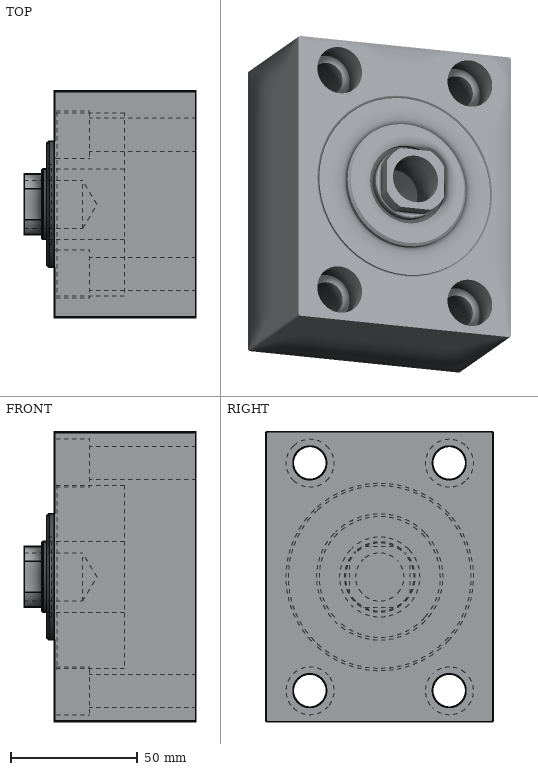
import math
import cadquery as cq

BLOCK_LENGTH = 56.0
BLOCK_WIDTH = 90.0
BLOCK_HEIGHT = 115.0
BLOCK_EDGE_CHAMFER = 0.5

BOLT_SPACING_Y = 55.2
BOLT_SPACING_Z = 90.2
BOLT_HOLE_DIAMETER = 13.1
COUNTERBORE_DIAMETER = 19.0
COUNTERBORE_DEPTH = 13.8

GLAND_DIAMETER = 72.5
GLAND_DEPTH = 27.6
GLAND_SEAT_CHAMFER = 0.9
BOSS_DIAMETER = 50.0
BOSS_HEIGHT = 3.1
BOSS_CHAMFER = 1.0
ROD_RECESS_DIAMETER = 31.7
ROD_RECESS_DEPTH = 1.8

ROD_DIAMETER = 28.0
SHOULDER_HEIGHT = 5.0
SHOULDER_CHAMFER = 0.5
TIP_HEIGHT = 12.0
TIP_DIAMETER = 27.1
TIP_ACROSS_FLATS = 24.2
ROD_HOLE_DIAMETER = 19.1
ROD_HOLE_DEPTH = 23.0
DRILL_POINT_ANGLE = 118.0


def disc(diameter, x_start, x_end):
    """Solid cylinder on the X axis between two X positions."""
    return cq.Workplane("YZ", origin=(x_start, 0, 0)).circle(diameter / 2).extrude(x_end - x_start)


def make_block():
    """Housing with a chamfered gland seat and four mounting holes."""
    block = cq.Workplane("XY").box(BLOCK_LENGTH, BLOCK_WIDTH, BLOCK_HEIGHT, centered=(False, True, True))
    block = block.edges("|X").chamfer(BLOCK_EDGE_CHAMFER)
    block = block.cut(disc(GLAND_DIAMETER, 0, GLAND_DEPTH))
    block = block.faces("<X").edges("%CIRCLE").chamfer(GLAND_SEAT_CHAMFER)
    return (
        block.faces("<X")
        .workplane(origin=(0, 0, 0))
        .rect(BOLT_SPACING_Y, BOLT_SPACING_Z, forConstruction=True)
        .vertices()
        .cboreHole(BOLT_HOLE_DIAMETER, COUNTERBORE_DIAMETER, COUNTERBORE_DEPTH)
    )


def make_gland():
    """Plug flush with the block face, its boss recessed around the rod bore."""
    boss = disc(BOSS_DIAMETER, -BOSS_HEIGHT, 0).faces("<X").chamfer(BOSS_CHAMFER)
    gland = disc(GLAND_DIAMETER, 0, GLAND_DEPTH).union(boss)
    rod_bore = disc(ROD_DIAMETER, -BOSS_HEIGHT, GLAND_DEPTH)
    rod_recess = disc(ROD_RECESS_DIAMETER, -BOSS_HEIGHT, ROD_RECESS_DEPTH - BOSS_HEIGHT)
    return gland.cut(rod_bore).cut(rod_recess)


def make_rod_hole():
    """Blind hole from the rod tip, ending in a conical drill point."""
    radius = ROD_HOLE_DIAMETER / 2
    hole_end = ROD_HOLE_DEPTH - TIP_HEIGHT
    point_length = radius / math.tan(math.radians(DRILL_POINT_ANGLE / 2))
    return (
        cq.Workplane("XY")
        .moveTo(-TIP_HEIGHT, 0)
        .lineTo(-TIP_HEIGHT, radius)
        .lineTo(hole_end, radius)
        .lineTo(hole_end + point_length, 0)
        .close()
        .revolve(360, (0, 0, 0), (1, 0, 0))
    )


def make_rod():
    """Rod ending at the inner face of the gland, with four flats on its tip."""
    shank = disc(ROD_DIAMETER, -SHOULDER_HEIGHT, GLAND_DEPTH).faces("<X").chamfer(SHOULDER_CHAMFER)
    square = (
        cq.Workplane("YZ", origin=(-TIP_HEIGHT, 0, 0))
        .rect(TIP_ACROSS_FLATS, TIP_ACROSS_FLATS)
        .extrude(TIP_HEIGHT - SHOULDER_HEIGHT)
    )
    tip = disc(TIP_DIAMETER, -TIP_HEIGHT, -SHOULDER_HEIGHT).intersect(square)
    return shank.union(tip).cut(make_rod_hole())


block = make_block()
gland = make_gland()
rod = make_rod()

result = cq.Compound.makeCompound([block.val(), gland.val(), rod.val()])